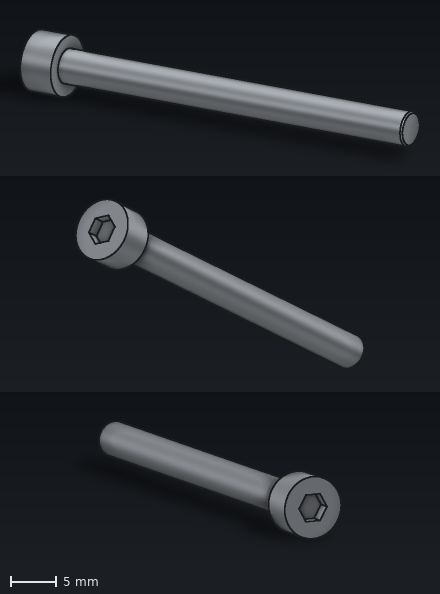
import cadquery as cq
import math

thread_diameter = 4.0
shank_length = 45.0
head_diameter = 7.0
head_height = thread_diameter
socket_across_flats = 3.0
socket_depth = 1.5
tip_chamfer = 0.2


def make_shank():
    """Plain cylindrical shank with a chamfered tip."""
    shank = cq.Workplane("YZ").circle(thread_diameter / 2).extrude(shank_length)
    return shank.faces(">X").chamfer(tip_chamfer)


def make_head():
    """Cylindrical head standing behind the shank."""
    return cq.Workplane("YZ").circle(head_diameter / 2).extrude(-head_height)


def make_socket():
    """Blind hexagonal socket, with two corners on the Y axis."""
    across_corners = socket_across_flats / math.cos(math.pi / 6)
    return (
        cq.Workplane("YZ", origin=(-head_height, 0, 0))
        .polygon(6, across_corners)
        .extrude(socket_depth)
    )


result = make_head().union(make_shank()).cut(make_socket())